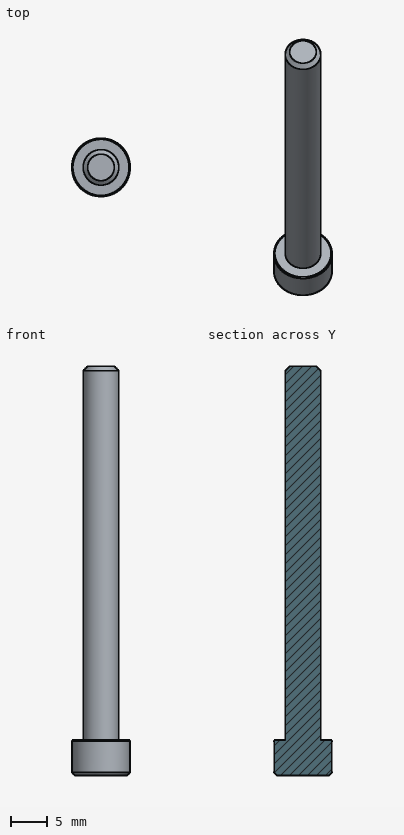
import cadquery as cq

total_length = 55.65
head_diameter = 7.95
head_height = 4.85
head_bottom_chamfer = 0.45
head_top_chamfer = 0.15
shank_diameter = 4.85
tip_chamfer = 0.6

head = (
    cq.Workplane("XY")
    .circle(head_diameter / 2)
    .extrude(head_height)
    .faces("<Z")
    .chamfer(head_bottom_chamfer)
    .faces(">Z")
    .chamfer(head_top_chamfer)
)

shank = (
    cq.Workplane("XY")
    .workplane(offset=head_height)
    .circle(shank_diameter / 2)
    .extrude(total_length - head_height)
    .faces(">Z")
    .chamfer(tip_chamfer)
)

result = head.union(shank)